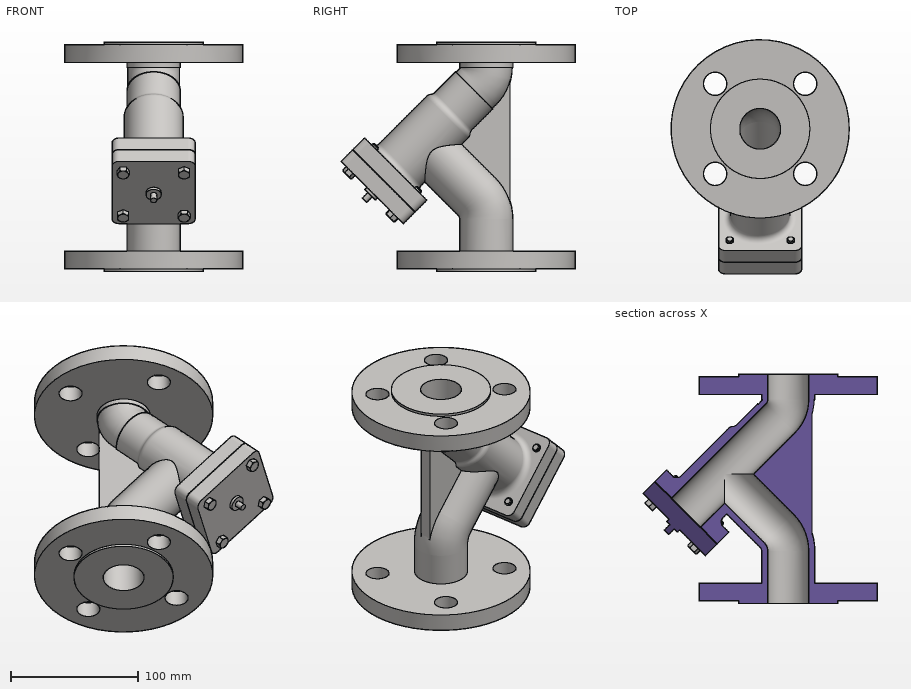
import cadquery as cq
import math

overall_height = 180.0
half_height = overall_height / 2

flange_diameter = 140.0
flange_thickness = 14.0
raised_face_diameter = 78.0
raised_face_height = 2.0
flange_hole_diameter = 18.0
flange_hole_spacing = 70.7
flange_inner_z = half_height - raised_face_height - flange_thickness

pipe_diameter = 42.0
bore_diameter = 32.0
pipe_tilt = 45
upper_bend_diameter = 40.8
upper_bend_radius = 20.6
upper_bend_z = 61.5
lower_bend_radius = 25.0
lower_bend_z = -38.5

barrel_diameter = 46.5
neck_start = 13.2
taper_start = 36.6
taper_concave_length = 2.8
taper_convex_length = 3.5
seat_start = 100.5
seat_fillet = 5.0

plate_width = 65.3
plate_height = 69.2
plate_thickness = 12.9
plate_corner_radius = 5.5
gasket_thickness = 0.4
gasket_diameter = barrel_diameter
bolt_spacing = 47.8
bolt_diameter = 6.0
bolt_protrusion = 2.2
bolt_tip_chamfer = 0.7
bolt_head_flats = 8.6
bolt_head_sides = 6
bolt_head_height = 4.5
gasket_start = seat_start + plate_thickness
cover_start = gasket_start + gasket_thickness
cover_end = cover_start + plate_thickness

plug_collar_diameter = 12.0
plug_collar_height = 2.4
plug_pin_diameter = 5.0
plug_pin_reach = 8.6

web_thickness = 9.0
web_back_y = 18.8

half_tilt_tangent = math.tan(math.radians(pipe_tilt / 2))
upper_bend_reach = upper_bend_radius * half_tilt_tangent
lower_bend_reach = lower_bend_radius * half_tilt_tangent

axes_cross_z = (upper_bend_z + lower_bend_z) / 2
axes_cross_y = -(upper_bend_z - lower_bend_z) / 2
branch_length = (upper_bend_z - lower_bend_z) / 2 * math.sqrt(2)

barrel_direction = cq.Vector(0, -1, -1)
plate_corner_edges = cq.selectors.ParallelDirSelector(barrel_direction)
barrel_end_face = cq.selectors.DirectionMinMaxSelector(barrel_direction, directionMax=True)
barrel_start_face = cq.selectors.DirectionMinMaxSelector(barrel_direction, directionMax=False)


def barrel_plane(station):
    """Plane square to the barrel axis; local X is the part's X, the normal points to the cover."""
    plane = cq.Plane(origin=(0, 0, upper_bend_z), xDir=(1, 0, 0), normal=barrel_direction)
    return cq.Workplane(plane).workplane(offset=station)


def branch_plane(station):
    """Plane square to the branch axis; the normal points to the barrel."""
    plane = cq.Plane(origin=(0, 0, lower_bend_z), xDir=(1, 0, 0), normal=(0, -1, 1))
    return cq.Workplane(plane).workplane(offset=station)


def vertical_leg(diameter, bottom_z, top_z):
    """Straight cylinder on the vertical axis."""
    return cq.Workplane("XY", origin=(0, 0, bottom_z)).circle(diameter / 2).extrude(top_z - bottom_z)


def bend(diameter, bend_radius, start_z, direction):
    """Elbow from start_z on the vertical axis toward -Y, rising (direction 1) or falling (-1)."""
    return (
        cq.Workplane("XY", origin=(0, 0, start_z))
        .circle(diameter / 2)
        .revolve(pipe_tilt, (0, -bend_radius, 0), (direction, -bend_radius, 0))
    )


def pipe_path(diameter, upper_diameter, end_z, barrel_end):
    """Both vertical legs, both bends, the branch and a run along the barrel axis.

    The upper bend and the run along the barrel axis have the upper diameter.
    """
    upper_start_z = upper_bend_z + upper_bend_reach
    lower_start_z = lower_bend_z - lower_bend_reach
    upper_leg = vertical_leg(diameter, upper_start_z, end_z)
    lower_leg = vertical_leg(diameter, -end_z, lower_start_z)
    upper_bend = bend(upper_diameter, upper_bend_radius, upper_start_z, -1)
    lower_bend = bend(diameter, lower_bend_radius, lower_start_z, 1)
    barrel_run_length = barrel_end - upper_bend_reach
    barrel_run = barrel_plane(upper_bend_reach).circle(upper_diameter / 2).extrude(barrel_run_length)
    branch_run_length = branch_length - lower_bend_reach
    branch = branch_plane(lower_bend_reach).circle(diameter / 2).extrude(branch_run_length)
    return (
        upper_leg.union(upper_bend)
        .union(barrel_run)
        .union(lower_leg)
        .union(lower_bend)
        .union(branch)
    )


def end_flange():
    """Upper pipe flange with its raised face and bolt holes."""
    return (
        cq.Workplane("XY", origin=(0, 0, flange_inner_z))
        .circle(flange_diameter / 2)
        .extrude(flange_thickness)
        .faces(">Z")
        .workplane()
        .rect(flange_hole_spacing, flange_hole_spacing, forConstruction=True)
        .vertices()
        .hole(flange_hole_diameter)
        .faces(">Z")
        .workplane()
        .circle(raised_face_diameter / 2)
        .extrude(raised_face_height)
    )


def barrel():
    """Turned barrel: pipe-size neck, S-shaped taper to full size, then a fillet into the plate."""
    pipe_radius = pipe_diameter / 2
    barrel_radius = barrel_diameter / 2
    taper_length = taper_concave_length + taper_convex_length
    inflection_radius = pipe_radius + (barrel_radius - pipe_radius) * taper_concave_length / taper_length
    profile_plane = cq.Plane(origin=(0, 0, upper_bend_z), xDir=barrel_direction, normal=(1, 0, 0))
    return (
        cq.Workplane(profile_plane)
        .moveTo(neck_start, 0)
        .lineTo(neck_start, pipe_radius)
        .lineTo(taper_start, pipe_radius)
        .tangentArcPoint((taper_start + taper_concave_length, inflection_radius), relative=False)
        .tangentArcPoint((taper_start + taper_length, barrel_radius), relative=False)
        .lineTo(seat_start - seat_fillet, barrel_radius)
        .tangentArcPoint((seat_start, barrel_radius + seat_fillet), relative=False)
        .lineTo(seat_start, 0)
        .close()
        .revolve(360, (0, 0, 0), (1, 0, 0))
    )


def joint_plate(station):
    """Rectangular plate with rounded corners, square to the barrel axis."""
    return (
        barrel_plane(station)
        .rect(plate_width, plate_height)
        .extrude(plate_thickness)
        .edges(plate_corner_edges)
        .fillet(plate_corner_radius)
    )


def bolt_centers():
    """Bolt positions in a plane square to the barrel axis."""
    half = bolt_spacing / 2
    return [(x, y) for x in (-half, half) for y in (-half, half)]


def web():
    """Flat web filling the space between the vertical back edge, the barrel and the branch."""
    outline = [
        (web_back_y, upper_bend_z + upper_bend_reach),
        (0, upper_bend_z + upper_bend_reach),
        (0, upper_bend_z),
        (axes_cross_y, axes_cross_z),
        (0, lower_bend_z),
        (0, lower_bend_z - lower_bend_reach),
        (web_back_y, lower_bend_z - lower_bend_reach),
    ]
    return cq.Workplane("YZ").polyline(outline).close().extrude(web_thickness / 2, both=True)


def make_housing():
    """Strainer housing: pipe runs, end flanges, barrel with flange plate, and web."""
    upper_flange = end_flange()
    lower_flange = upper_flange.mirror("XY")
    bolt_holes = (
        barrel_plane(seat_start)
        .pushPoints(bolt_centers())
        .circle(bolt_diameter / 2)
        .extrude(plate_thickness)
    )
    return (
        pipe_path(pipe_diameter, upper_bend_diameter, flange_inner_z, neck_start)
        .union(barrel())
        .union(web())
        .union(joint_plate(seat_start))
        .union(upper_flange)
        .union(lower_flange)
        .cut(pipe_path(bore_diameter, bore_diameter, half_height, gasket_start))
        .cut(bolt_holes)
    )


def make_gasket():
    """Flat ring that keeps the two plates slightly apart."""
    return (
        barrel_plane(gasket_start)
        .circle(gasket_diameter / 2)
        .circle(bore_diameter / 2)
        .extrude(gasket_thickness)
    )


def bolt(x, y):
    """Hexagon bolt with a chamfered head and tip; the head corners alternate between neighbours."""
    head_turn = 0 if x * y < 0 else 180 / bolt_head_sides
    tip_station = seat_start - bolt_protrusion
    corner_diameter = bolt_head_flats / math.cos(math.pi / bolt_head_sides)
    shank = (
        barrel_plane(tip_station)
        .center(x, y)
        .circle(bolt_diameter / 2)
        .extrude(cover_start - tip_station)
        .faces(barrel_start_face)
        .chamfer(bolt_tip_chamfer)
    )
    chamfered_blank = (
        barrel_plane(cover_end)
        .center(x, y)
        .circle(corner_diameter / 2)
        .extrude(bolt_head_height)
        .faces(barrel_end_face)
        .chamfer((corner_diameter - bolt_head_flats) / 2)
    )
    head = (
        barrel_plane(cover_end)
        .center(x, y)
        .transformed(rotate=(0, 0, head_turn))
        .polygon(bolt_head_sides, corner_diameter)
        .extrude(bolt_head_height)
        .intersect(chamfered_blank)
    )
    return shank, head


def make_cover():
    """Cover plate with its four bolts and the central drain plug."""
    cover = joint_plate(cover_start)
    for x, y in bolt_centers():
        shank, head = bolt(x, y)
        cover = cover.union(shank).union(head)
    collar = barrel_plane(cover_end).circle(plug_collar_diameter / 2).extrude(plug_collar_height)
    pin = barrel_plane(cover_end).circle(plug_pin_diameter / 2).extrude(plug_pin_reach)
    return cover.union(collar).union(pin)


housing = make_housing()
gasket = make_gasket()
cover = make_cover()

result = cq.Compound.makeCompound([housing.solids().val(), gasket.solids().val(), cover.solids().val()])